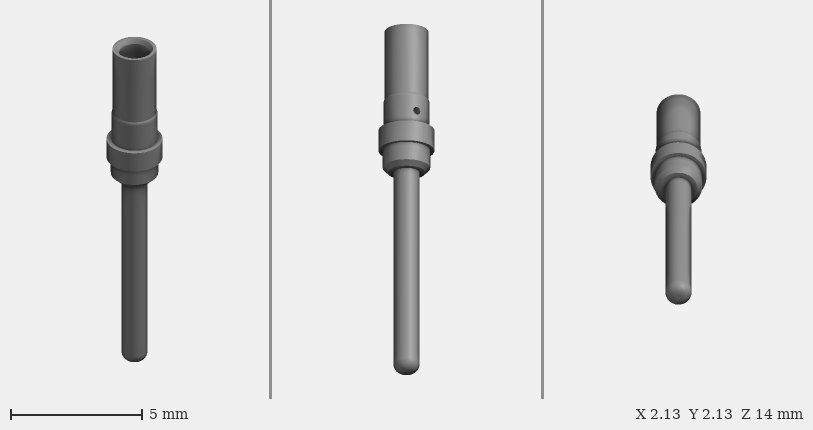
import cadquery as cq
import math

total_length = 14.0
barrel_step_z = 11.2
collar_top_z = 9.95
collar_thickness = 0.82
collar_bottom_z = collar_top_z - collar_thickness
hub_bottom_z = 8.23

barrel_diameter = 1.67
body_diameter = 1.75
collar_diameter = 2.13
hub_diameter = 1.81
pin_diameter = 1.0

step_round_height = 0.12
hub_chamfer = 0.19
tip_round_radius = 0.38

bore_diameter = 1.17
bore_floor_z = 10.2
drill_point_angle = 118.0
mouth_chamfer_width = 0.12
mouth_chamfer_depth = 0.17

inspection_diameter = 0.3
inspection_z = 10.46
inspection_direction = (-1, 1, 0)

barrel_radius = barrel_diameter / 2
body_radius = body_diameter / 2
collar_radius = collar_diameter / 2
hub_radius = hub_diameter / 2
pin_radius = pin_diameter / 2
bore_radius = bore_diameter / 2


def arc_midpoint(center, radius, angle):
    """Point at the given angle on an arc in the radius-height plane."""
    return (center[0] + radius * math.cos(angle), center[1] + radius * math.sin(angle))


def revolve_about_z(profile):
    """Revolve a closed profile of (radius, height) points about the Z axis."""
    return profile.close().revolve(360, (0, 0, 0), (0, 1, 0))


def make_outer_body():
    """Turned body: domed pin, chamfered hub, collar, body and crimp barrel."""
    tip_center = (pin_radius - tip_round_radius, tip_round_radius)
    tip_middle = arc_midpoint(tip_center, tip_round_radius, math.radians(-45))

    step_width = body_radius - barrel_radius
    step_radius = (step_round_height**2 + step_width**2) / (2 * step_width)
    step_start_z = barrel_step_z - step_round_height
    step_center = (body_radius - step_radius, step_start_z)
    step_angle = math.asin(step_round_height / step_radius)
    step_middle = arc_midpoint(step_center, step_radius, step_angle / 2)

    profile = (
        cq.Workplane("XZ")
        .moveTo(0, 0)
        .lineTo(tip_center[0], 0)
        .threePointArc(tip_middle, (pin_radius, tip_round_radius))
        .lineTo(pin_radius, hub_bottom_z)
        .lineTo(hub_radius - hub_chamfer, hub_bottom_z)
        .lineTo(hub_radius, hub_bottom_z + hub_chamfer)
        .lineTo(hub_radius, collar_bottom_z)
        .lineTo(collar_radius, collar_bottom_z)
        .lineTo(collar_radius, collar_top_z)
        .lineTo(body_radius, collar_top_z)
        .lineTo(body_radius, step_start_z)
        .threePointArc(step_middle, (barrel_radius, barrel_step_z))
        .lineTo(barrel_radius, total_length)
        .lineTo(0, total_length)
    )
    return revolve_about_z(profile)


def make_wire_bore():
    """Blind bore with a conical floor and a chamfered mouth."""
    drill_point_depth = bore_radius / math.tan(math.radians(drill_point_angle / 2))
    profile = (
        cq.Workplane("XZ")
        .moveTo(0, bore_floor_z - drill_point_depth)
        .lineTo(bore_radius, bore_floor_z)
        .lineTo(bore_radius, total_length - mouth_chamfer_depth)
        .lineTo(bore_radius + mouth_chamfer_width, total_length)
        .lineTo(0, total_length)
    )
    return revolve_about_z(profile)


def make_inspection_hole():
    """Radial hole from the axis outward, opening into the wire bore."""
    plane = cq.Plane(origin=(0, 0, inspection_z), xDir=(0, 0, 1), normal=inspection_direction)
    return cq.Workplane(plane).circle(inspection_diameter / 2).extrude(collar_radius)


result = make_outer_body().cut(make_wire_bore()).cut(make_inspection_hole())